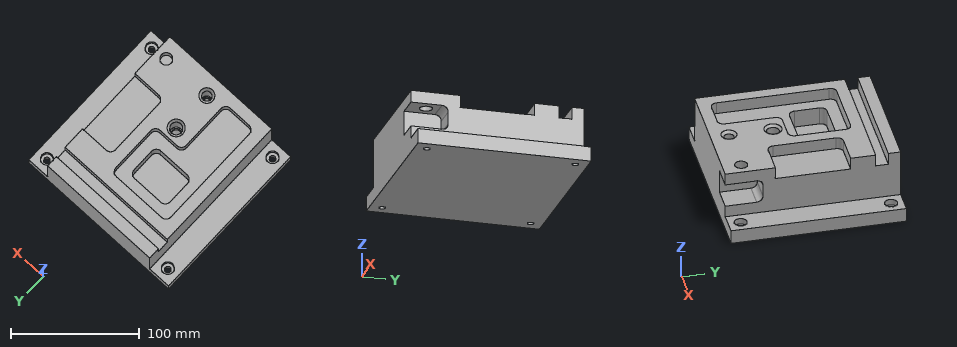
import cadquery as cq

base_width = 148.0
length = 140.0
base_height = 12.0
block_width = 108.0
block_height = 40.0
top = base_height + block_height
block_side = block_width / 2

margin = 10.0
shallow_depth = 10.0
corner_radius = 5.0

pocket_left = -44.0
pocket_leg_right = -14.0
pocket_right = 14.0
pocket_leg_end = 60.0
pocket_back = 110.0
recess_front = 70.0
recess_depth = 15.0

side_pocket_left = 24.0
side_pocket_front = 40.0
side_pocket_back = 99.9

groove_width = 10.0

notch_width = 20.0
notch_height = 20.0
notch_length = 30.0
notch_roof = 10.0
notch_top = top - notch_roof

drilled_x = 1.0
front_hole_y = 15.0
rear_hole_y = 50.0
large_mouth_diameter = 14.0
large_diameter = 10.0
large_core_diameter = 7.8
small_mouth_diameter = 12.5
small_diameter = 8.0
small_core_diameter = 6.0
wide_depth = 20.0
drilled_depth = 25.0
drill_tip_ratio = 0.6
roof_hole_x = 44.0
roof_hole_diameter = 10.0

mount_diameter = 5.0
mount_head_diameter = 10.0
mount_head_depth = 5.0
mount_x = base_width / 2 - margin
mount_front_y = margin
mount_back_y = length - margin


def box(x_min, x_max, y_min, y_max, z_min, z_max):
    size = (x_max - x_min, y_max - y_min, z_max - z_min)
    return cq.Workplane("XY").box(*size, centered=False).translate((x_min, y_min, z_min))


def drilled_hole(y, mouth_diameter, diameter, core_diameter):
    """Countersunk blind hole, stepping down to a core with a conical bottom, as a solid to remove."""
    mouth_radius = mouth_diameter / 2
    radius = diameter / 2
    core_radius = core_diameter / 2
    tip_z = -drilled_depth - drill_tip_ratio * core_radius
    countersink_depth = mouth_radius - radius
    profile = (
        cq.Workplane("XZ")
        .moveTo(0, 0)
        .lineTo(mouth_radius, 0)
        .lineTo(radius, -countersink_depth)
        .lineTo(radius, -wide_depth)
        .lineTo(core_radius, -wide_depth)
        .lineTo(core_radius, -drilled_depth)
        .lineTo(0, tip_z)
        .close()
    )
    hole = profile.revolve(360, (0, 0, 0), (0, 1, 0))
    return hole.translate((drilled_x, y, top))


def body():
    base = box(-base_width / 2, base_width / 2, 0, length, 0, base_height)
    block = box(-block_side, block_side, 0, length, base_height, top)
    return base.union(block)


def large_pocket():
    floor = top - shallow_depth
    outline = [
        (pocket_left, margin),
        (pocket_leg_right, margin),
        (pocket_leg_right, pocket_leg_end),
        (pocket_right, pocket_leg_end),
        (pocket_right, pocket_back),
        (pocket_left, pocket_back),
    ]
    pocket = cq.Workplane("XY").workplane(offset=floor).polyline(outline).close().extrude(shallow_depth)
    pocket = pocket.edges("|Z").fillet(corner_radius)
    recess = box(
        pocket_left + margin, pocket_right - margin,
        recess_front, pocket_back - margin,
        floor - recess_depth, floor,
    )
    return pocket.union(recess.edges("|Z").fillet(corner_radius))


def side_pocket():
    pocket = box(
        side_pocket_left, block_side,
        side_pocket_front, side_pocket_back,
        top - shallow_depth, top,
    )
    return pocket.edges("|Z and <X").fillet(corner_radius)


def groove():
    back = length - margin
    return box(-block_side, block_side, back - groove_width, back, top - shallow_depth, top)


def corner_notch():
    notch = box(
        block_side - notch_width, block_side,
        0, notch_length,
        notch_top - notch_height, notch_top,
    )
    return notch.edges("|X and >Y").fillet(corner_radius)


def roof_hole():
    hole = cq.Workplane("XY").workplane(offset=notch_top).circle(roof_hole_diameter / 2).extrude(notch_roof)
    return hole.translate((roof_hole_x, front_hole_y, 0))


def mounting_hole(x, y):
    bore = cq.Workplane("XY").circle(mount_diameter / 2).extrude(base_height)
    head = cq.Workplane("XY").circle(mount_head_diameter / 2).extrude(mount_head_depth)
    head = head.translate((0, 0, base_height - mount_head_depth))
    return bore.union(head).translate((x, y, 0))


result = body()
for cut in (
    large_pocket(),
    side_pocket(),
    groove(),
    corner_notch(),
    roof_hole(),
    drilled_hole(rear_hole_y, large_mouth_diameter, large_diameter, large_core_diameter),
    drilled_hole(front_hole_y, small_mouth_diameter, small_diameter, small_core_diameter),
):
    result = result.cut(cut)

for x in (-mount_x, mount_x):
    for y in (mount_front_y, mount_back_y):
        result = result.cut(mounting_hole(x, y))